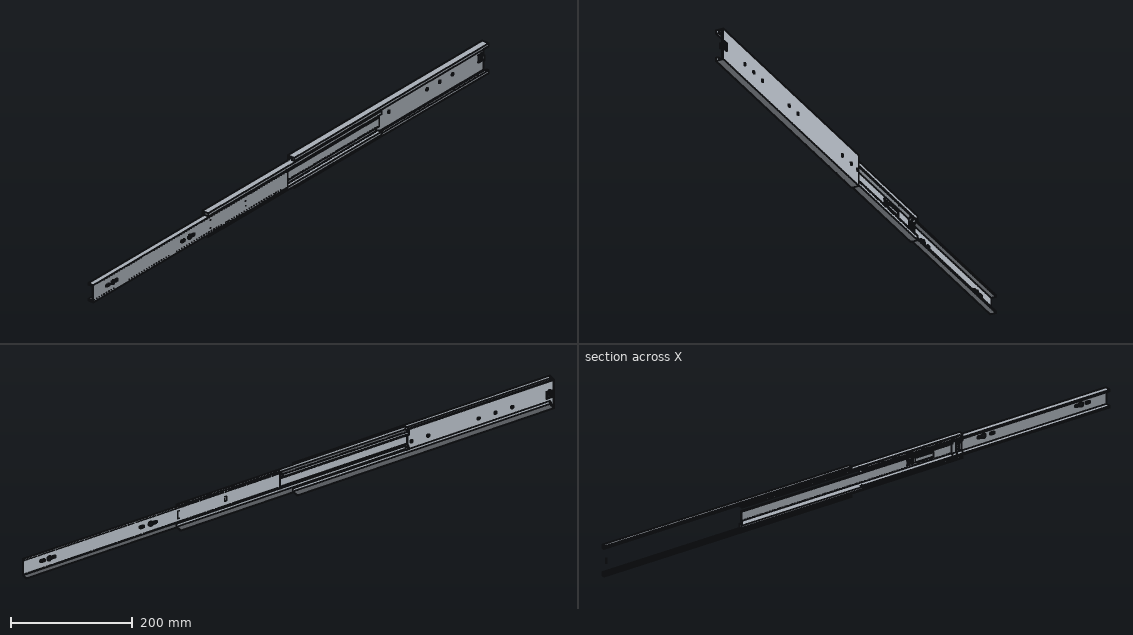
import cadquery as cq


OUTER_HEIGHT = 57.0
OUTER_DEPTH = 14.0
OUTER_WALL = 3.0
OUTER_RAIL = 6.0
OUTER_RAIL_WIDTH = 5.0
OUTER_REAR = 502.0
MEMBER_LENGTH = 491.0
OUTER_FRONT = OUTER_REAR - MEMBER_LENGTH

MOUNT_HOLE_DIAMETER = 5.0
MOUNT_PITCH = 32.0
FIRST_MOUNT_Y = 424.0
MOUNT_STEPS = (0, 1, 2, 5, 6, 11, 12)
FRONT_HOLE_Y = 15.0

REAR_WINDOW_LENGTH = 10.0
REAR_WINDOW_HEIGHT = 14.0
REAR_WINDOW_MARGIN = 3.0
REAR_TAB_HEIGHT = 9.0
REAR_TAB_REACH = 8.0
TAB_THICKNESS = 2.0

MIDDLE_HEIGHT = OUTER_HEIGHT - 2 * OUTER_RAIL
MIDDLE_BACK = 4.0
MIDDLE_RIGHT = 17.0
MIDDLE_WALL = 2.0
MIDDLE_RAIL = 6.0
MIDDLE_RAIL_WIDTH = 8.0
MIDDLE_REAR = 228.0
MIDDLE_FRONT = -210.0
RAISED_WEB_X = 10.0
RAISED_WEB_HALF = 8.5
SLOPE_HALF = 14.0

LATCH_HOLE_Y = -104.0
LATCH_HOLE_LENGTH = 5.0
LATCH_SLOT_REAR = -111.0
LATCH_SLOT_LENGTH = 43.0
LATCH_HEIGHT = 9.0
LATCH_TAB_GAP = 3.0
LATCH_TAB_THICKNESS = 4.0
FRONT_WINDOW_REAR = -190.0
FRONT_WINDOW_LENGTH = 9.0
FRONT_WINDOW_HEIGHT = 26.0
STOP_HEIGHT = 15.0
STOP_BACK = 8.0
STOP_FRONT_MARGIN = 3.0
STOP_THICKNESS = 4.0

INNER_HEIGHT = MIDDLE_HEIGHT - 2 * MIDDLE_RAIL
INNER_BACK = 8.0
INNER_RIGHT = 19.0
INNER_WALL = 2.0
INNER_WEB_LEFT = INNER_RIGHT - INNER_WALL
INNER_FLANGE = 3.0
INNER_FRONT = -502.0

KEYHOLE_YS = (-258.0, -452.0)
KEYHOLE_DIAMETER = 8.0
KEYHOLE_NECK_LENGTH = 12.0
KEYHOLE_NECK_HEIGHT = 4.0
SCREW_SLOT_YS = (-275.0, -465.0)
SCREW_SLOT_LENGTH = 9.0
SCREW_SLOT_HEIGHT = 4.0


def box(x_min, x_max, y_min, y_max, height):
    """Box centred on Z = 0."""
    return (
        cq.Workplane("XY")
        .box(x_max - x_min, y_max - y_min, height, centered=(False, False, True))
        .translate((x_min, y_min, 0))
    )


def mirrored_bar(upper_half, front, rear):
    """Extrude along Y the section outlined by (x, z) points of its upper half and their mirror image."""
    lower_half = [(x, -z) for x, z in reversed(upper_half)]
    return (
        cq.Workplane("XZ", origin=(0, rear, 0))
        .polyline(upper_half + lower_half)
        .close()
        .extrude(rear - front)
    )


def round_cutter(y, diameter):
    return cq.Workplane("YZ").center(y, 0).circle(diameter / 2).extrude(INNER_RIGHT)


def slot_cutter(y, length, height):
    return cq.Workplane("YZ").center(y, 0).slot2D(length, height).extrude(INNER_RIGHT)


def make_outer_member():
    top = OUTER_HEIGHT / 2
    rail_left = OUTER_DEPTH - OUTER_RAIL_WIDTH
    body = mirrored_bar(
        [
            (OUTER_WALL, top - OUTER_WALL),
            (rail_left, top - OUTER_WALL),
            (rail_left, top - OUTER_RAIL),
            (OUTER_DEPTH, top - OUTER_RAIL),
            (OUTER_DEPTH, top),
            (0, top),
        ],
        OUTER_FRONT,
        OUTER_REAR,
    )
    hole_ys = [FIRST_MOUNT_Y - step * MOUNT_PITCH for step in MOUNT_STEPS] + [FRONT_HOLE_Y]
    for y in hole_ys:
        body = body.cut(round_cutter(y, MOUNT_HOLE_DIAMETER))

    window_rear = OUTER_REAR - REAR_WINDOW_MARGIN
    body = body.cut(box(0, OUTER_WALL, window_rear - REAR_WINDOW_LENGTH, window_rear, REAR_WINDOW_HEIGHT))
    tab = box(0, REAR_TAB_REACH, window_rear - TAB_THICKNESS, window_rear, REAR_TAB_HEIGHT)
    return body.union(tab)


def make_middle_member():
    top = MIDDLE_HEIGHT / 2
    inside = top - MIDDLE_WALL
    rail_left = MIDDLE_RIGHT - MIDDLE_RAIL_WIDTH
    body = mirrored_bar(
        [
            (RAISED_WEB_X + MIDDLE_WALL, RAISED_WEB_HALF),
            (MIDDLE_BACK + MIDDLE_WALL, SLOPE_HALF),
            (MIDDLE_BACK + MIDDLE_WALL, inside),
            (rail_left, inside),
            (rail_left, top - MIDDLE_RAIL),
            (MIDDLE_RIGHT, top - MIDDLE_RAIL),
            (MIDDLE_RIGHT, top),
            (MIDDLE_BACK, top),
            (MIDDLE_BACK, SLOPE_HALF),
            (RAISED_WEB_X, RAISED_WEB_HALF),
        ],
        MIDDLE_FRONT,
        MIDDLE_REAR,
    )
    web_right = RAISED_WEB_X + MIDDLE_WALL

    hole_front = LATCH_HOLE_Y - LATCH_HOLE_LENGTH / 2
    body = body.cut(box(MIDDLE_BACK, web_right, hole_front, hole_front + LATCH_HOLE_LENGTH, LATCH_HEIGHT))
    slot_front = LATCH_SLOT_REAR - LATCH_SLOT_LENGTH
    body = body.cut(box(MIDDLE_BACK, web_right, slot_front, LATCH_SLOT_REAR, LATCH_HEIGHT))
    tab_rear = LATCH_SLOT_REAR - LATCH_TAB_GAP
    tab = box(RAISED_WEB_X, INNER_WEB_LEFT, tab_rear - LATCH_TAB_THICKNESS, tab_rear, LATCH_HEIGHT)
    body = body.union(tab)

    window_front = FRONT_WINDOW_REAR - FRONT_WINDOW_LENGTH
    body = body.cut(box(MIDDLE_BACK, web_right, window_front, FRONT_WINDOW_REAR, FRONT_WINDOW_HEIGHT))
    stop_front = MIDDLE_FRONT + STOP_FRONT_MARGIN
    stop = box(STOP_BACK, INNER_WEB_LEFT, stop_front, stop_front + STOP_THICKNESS, STOP_HEIGHT)
    return body.union(stop)


def make_inner_member():
    top = INNER_HEIGHT / 2
    inside = top - INNER_FLANGE
    body = mirrored_bar(
        [
            (INNER_WEB_LEFT, inside),
            (INNER_BACK, inside),
            (INNER_BACK, top),
            (INNER_RIGHT, top),
        ],
        INNER_FRONT,
        INNER_FRONT + MEMBER_LENGTH,
    )
    for y in KEYHOLE_YS:
        neck_y = y + KEYHOLE_NECK_LENGTH / 2
        body = body.cut(round_cutter(y, KEYHOLE_DIAMETER))
        body = body.cut(slot_cutter(neck_y, KEYHOLE_NECK_LENGTH, KEYHOLE_NECK_HEIGHT))
    for y in SCREW_SLOT_YS:
        body = body.cut(slot_cutter(y, SCREW_SLOT_LENGTH, SCREW_SLOT_HEIGHT))
    return body


outer_member = make_outer_member()
middle_member = make_middle_member()
inner_member = make_inner_member()

result = cq.Compound.makeCompound([outer_member.val(), middle_member.val(), inner_member.val()])